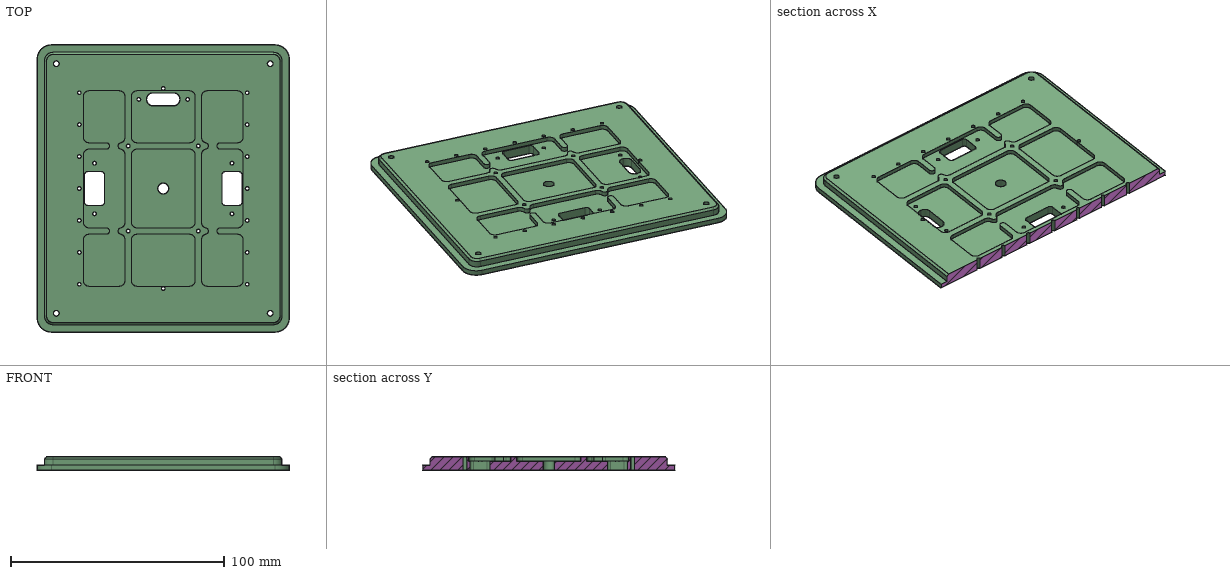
import cadquery as cq
import math

flange_x = 118.5
flange_y = 134.9
flange_height = 2.4
flange_corner_radius = 6.9
total_height = 6.3
ledge = 3.5
body_x = flange_x - 2 * ledge
body_y = flange_y - 2 * ledge
body_corner_radius = 4.0
body_chamfer = 1.0

pocket_depth = 2.0
pocket_corner_radius = 2.7
grid_half_x = 37.5
grid_half_y = 45.9
rib_width = 3.0
rib_x = 16.5
rib_y = 20.0
stub_end_x = 25.2
nub_end_x = 21.2

floor_z = total_height - pocket_depth
column_half_x = rib_x - rib_width / 2
side_pocket_x = rib_x + rib_width / 2
middle_row_half_y = rib_y - rib_width / 2
outer_row_y = rib_y + rib_width / 2

corner_hole_diameter = 2.5
corner_hole_x = 50.2
corner_hole_y = 58.5
center_hole_diameter = 5.0
screw_diameter = 1.6
side_screw_x = 39.4
side_screw_pitch = 15.0
side_screws_each_way = 3
end_screw_y = 47.0

side_window_size = (9.3, 15.8)
side_window_x = 32.2
side_window_radius = 1.5
side_window_screw_y = 11.9
back_window_size = (15.5, 6.0)
back_window_y = 41.8
back_window_radius = 2.8
back_window_screw_x = 11.5


def rounded_block(x0, x1, y0, y1, z0, height, radius):
    """Upright block between two corners, with rounded vertical edges."""
    return (
        cq.Workplane("XY", origin=((x0 + x1) / 2, (y0 + y1) / 2, z0))
        .rect(x1 - x0, y1 - y0)
        .extrude(height)
        .edges("|Z")
        .fillet(radius)
    )


def centered_block(size, center, z0, height, radius):
    """Upright block around a center point, with rounded vertical edges."""
    half_x = size[0] / 2
    half_y = size[1] / 2
    x, y = center
    return rounded_block(x - half_x, x + half_x, y - half_y, y + half_y, z0, height, radius)


def make_plate():
    flange = centered_block((flange_x, flange_y), (0, 0), 0, flange_height, flange_corner_radius)
    body = centered_block((body_x, body_y), (0, 0), 0, total_height, body_corner_radius)
    return flange.union(body.faces(">Z").chamfer(body_chamfer))


def middle_pockets():
    """Three separate pockets of the middle column."""
    rows = [(-grid_half_y, -outer_row_y), (-middle_row_half_y, middle_row_half_y), (outer_row_y, grid_half_y)]
    pockets = cq.Workplane("XY")
    for y0, y1 in rows:
        pockets = pockets.union(
            rounded_block(-column_half_x, column_half_x, y0, y1, floor_z, pocket_depth, pocket_corner_radius)
        )
    return pockets


def wall_stub(y):
    """Rib reaching inward from the outer pocket wall, with a round free end."""
    buried_end_x = grid_half_x + rib_width
    return (
        cq.Workplane("XY", origin=((stub_end_x + buried_end_x) / 2, y, floor_z))
        .slot2D(buried_end_x - stub_end_x, rib_width)
        .extrude(pocket_depth)
    )


def rib_nub(y):
    """Round nose on the inner pocket wall, blended into it by a tangent arc on each side."""
    nose_radius = rib_width / 2
    blend_radius = pocket_corner_radius
    nose_x = nub_end_x - nose_radius
    blend_x = side_pocket_x + blend_radius
    blend_y = math.sqrt((nose_radius + blend_radius) ** 2 - (blend_x - nose_x) ** 2)

    touch_ratio = nose_radius / (nose_radius + blend_radius)
    touch_x = nose_x + touch_ratio * (blend_x - nose_x)
    touch_y = touch_ratio * blend_y

    start_angle = math.pi
    end_angle = math.pi + math.atan2(blend_y - touch_y, blend_x - touch_x)
    middle_angle = (start_angle + end_angle) / 2
    middle_x = blend_x + blend_radius * math.cos(middle_angle)
    middle_y = blend_y + blend_radius * math.sin(middle_angle)

    return (
        cq.Workplane("XY", origin=(0, y, floor_z))
        .moveTo(side_pocket_x, blend_y)
        .threePointArc((middle_x, middle_y), (touch_x, touch_y))
        .threePointArc((nub_end_x, 0), (touch_x, -touch_y))
        .threePointArc((middle_x, -middle_y), (side_pocket_x, -blend_y))
        .close()
        .extrude(pocket_depth)
    )


def side_pocket():
    """Right-hand column: one pocket narrowed by a wall stub and a rib nub at each row line."""
    pocket = (
        cq.Workplane("XY", origin=((side_pocket_x + grid_half_x) / 2, 0, floor_z))
        .rect(grid_half_x - side_pocket_x, 2 * grid_half_y)
        .extrude(pocket_depth)
    )
    for y in (-rib_y, rib_y):
        pocket = pocket.cut(wall_stub(y))
    pocket = pocket.edges("|Z and (<X or >X)").fillet(pocket_corner_radius)
    for y in (-rib_y, rib_y):
        pocket = pocket.cut(rib_nub(y))
    return pocket


def through_holes(diameter, points):
    return cq.Workplane("XY").pushPoints(points).circle(diameter / 2).extrude(total_height)


def mirrored_points(x, y):
    return [(sx * x, sy * y) for sx in (-1, 1) for sy in (-1, 1)]


def screw_points():
    points = mirrored_points(rib_x, rib_y)
    points += mirrored_points(side_window_x, side_window_screw_y)
    for side in (-1, 1):
        points.append((0, side * end_screw_y))
        points.append((side * back_window_screw_x, back_window_y))
        for step in range(-side_screws_each_way, side_screws_each_way + 1):
            points.append((side * side_screw_x, step * side_screw_pitch))
    return points


result = make_plate()

right_pocket = side_pocket()
result = result.cut(middle_pockets()).cut(right_pocket).cut(right_pocket.mirror("YZ"))

for window_x in (-side_window_x, side_window_x):
    result = result.cut(
        centered_block(side_window_size, (window_x, 0), 0, total_height, side_window_radius)
    )
result = result.cut(
    centered_block(back_window_size, (0, back_window_y), 0, total_height, back_window_radius)
)

result = result.cut(through_holes(corner_hole_diameter, mirrored_points(corner_hole_x, corner_hole_y)))
result = result.cut(through_holes(center_hole_diameter, [(0, 0)]))
result = result.cut(through_holes(screw_diameter, screw_points()))